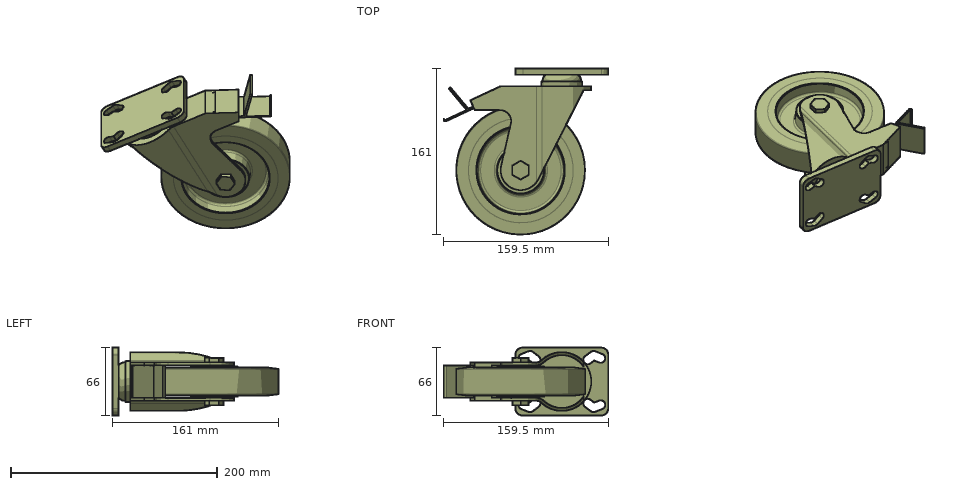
import cadquery as cq
import math


overall_x = 159.5
overall_y = 161

wheel_radius = 62.5
tread_half_width = 11.8
tread_edge_round = 0.6
tread_inner_radius = 50.7
rim_half_width = 13.8
rim_inner_radius = 43.0
rim_chamfer = 0.6
rim_wall_foot_radius = 41.2
web_half_thickness = 2.3
rim_fillet = 2.3
hub_radius = 22.9
hub_foot_radius = 24.0
hub_half_width = 14.8
hub_fillet = 1.8
hub_edge_chamfer = 0.3

axle_radius = 13.0 / 2
spacer_radius = 16.3 / 2
hex_across_flats = 15.8
hex_outer_z = 23.0

sheet = 2.9
leg_outer_z = 18.7
leg_inner_z = leg_outer_z - sheet
leg_end_radius = 19.3
leg_slant = math.radians(63)
swivel_x = 40.0
shell_radius = 28.5
shell_blend_radius = 8
fork_top_y = 81.3
flange_thickness = 4.0
flange_bottom_y = fork_top_y - flange_thickness
throat_centre = (-19.8, 47.5)
throat_radius = 10.6
arm_slope = math.radians(25)
arm_knee_x = -19.6
arm_length = 32.2
cavity_start_x = -28.2

neck_radius = 40.0 / 2
neck_shoulder_y = 85.0
neck_shoulder_round = 1.1
dome_top_radius = 15.8
dome_arc_radius = 7.5

plate_length = 90.2
plate_width = 66
plate_thickness = 6.1
plate_top_y = overall_y - wheel_radius
plate_bottom_y = plate_top_y - plate_thickness
plate_corner_radius = 7.1
slot_width = 8.5
slot_path = [(25.1, 21.1), (30.8, 25.3), (37.7, 22.5)]

tread_thickness = 1.5
stub_thickness = 2.0
lever_thickness = 2.1
pedal_half_width = leg_inner_z
pedal_tip_x = swivel_x + plate_length / 2 - overall_x
pedal_root = (-45.4, 59.9)
pedal_root_overlap = 0.8
lip_round = 1.6
lip_rise = 0.8
lever_slope = math.radians(50)
lever_root_distance = 5.6
lever_length = 28.0


def both_sides(body):
    """Join a body to its mirror image across the mid-plane Z = 0."""
    return body.union(body.mirror("XY"))


def make_wheel():
    half = (
        cq.Workplane("XZ")
        .moveTo(0, 0)
        .lineTo(wheel_radius, 0)
        .lineTo(wheel_radius, tread_half_width)
        .tangentArcPoint((-tread_edge_round, tread_edge_round))
        .lineTo(tread_inner_radius, rim_half_width)
        .lineTo(rim_inner_radius, rim_half_width)
        .lineTo(rim_inner_radius - rim_chamfer, rim_half_width - rim_chamfer)
        .lineTo(rim_wall_foot_radius, web_half_thickness + rim_fillet)
        .tangentArcPoint((-rim_fillet, -rim_fillet))
        .lineTo(hub_foot_radius + hub_fillet, web_half_thickness)
        .tangentArcPoint((-hub_fillet, hub_fillet))
        .lineTo(hub_radius, hub_half_width - hub_edge_chamfer)
        .lineTo(hub_radius - hub_edge_chamfer, hub_half_width)
        .lineTo(0, hub_half_width)
        .close()
        .revolve(360, (0, 0), (0, 1))
    )
    return both_sides(half)


def make_axle():
    hex_across_corners = hex_across_flats / math.cos(math.radians(30))
    spacer = cq.Workplane("XY").circle(spacer_radius).extrude(leg_inner_z)
    shank = cq.Workplane("XY").circle(axle_radius).extrude(leg_outer_z)
    head = (
        cq.Workplane("XY", origin=(0, 0, leg_outer_z))
        .transformed(rotate=(0, 0, 30))
        .polygon(6, hex_across_corners)
        .extrude(hex_outer_z - leg_outer_z)
    )
    return both_sides(spacer.union(shank).union(head))


def fork_plan(start_x, half_width, radius, blend, top_y):
    """Prism down from top_y: a straight channel blending into a round shell."""
    blend_z = half_width + blend
    reach = radius + blend
    blend_x = swivel_x - math.sqrt(reach**2 - blend_z**2)
    to_blend = math.atan2(blend_z, blend_x - swivel_x)
    join_x = swivel_x + radius * math.cos(to_blend)
    join_z = radius * math.sin(to_blend)
    return (
        cq.Workplane("XZ", origin=(0, top_y, 0))
        .moveTo(start_x, half_width)
        .lineTo(blend_x, half_width)
        .tangentArcPoint((join_x, join_z), relative=False)
        .threePointArc((swivel_x + radius, 0), (join_x, -join_z))
        .tangentArcPoint((blend_x, -half_width), relative=False)
        .lineTo(start_x, -half_width)
        .close()
        .extrude(top_y + leg_end_radius)
    )


def fork_side():
    """Side outline of the fork, extruded across its full width."""
    front_normal = (math.sin(leg_slant), -math.cos(leg_slant))
    front_tangent = tuple(leg_end_radius * n for n in front_normal)
    front_top_x = (leg_end_radius - flange_bottom_y * front_normal[1]) / front_normal[0]

    throat_distance = math.hypot(*throat_centre)
    throat_angle = math.atan2(throat_centre[1], throat_centre[0])
    rear_angle = throat_angle + math.acos((leg_end_radius + throat_radius) / throat_distance)
    rear_normal = (math.cos(rear_angle), math.sin(rear_angle))
    rear_tangent = tuple(leg_end_radius * n for n in rear_normal)
    throat_tangent = tuple(c - throat_radius * n for c, n in zip(throat_centre, rear_normal))

    throat_top = (throat_centre[0], throat_centre[1] + throat_radius)
    arm_tip = (
        arm_knee_x - arm_length * math.cos(arm_slope),
        fork_top_y - arm_length * math.sin(arm_slope),
    )
    arm_heel = (arm_tip[0] + (arm_tip[1] - throat_top[1]) * math.tan(arm_slope), throat_top[1])
    flange_end_x = swivel_x + shell_radius

    return (
        cq.Workplane("XY")
        .moveTo(arm_knee_x, fork_top_y)
        .lineTo(flange_end_x, fork_top_y)
        .lineTo(flange_end_x, flange_bottom_y)
        .lineTo(front_top_x, flange_bottom_y)
        .lineTo(*front_tangent)
        .threePointArc((0, -leg_end_radius), rear_tangent)
        .lineTo(*throat_tangent)
        .tangentArcPoint(throat_top, relative=False)
        .lineTo(*arm_heel)
        .lineTo(*arm_tip)
        .close()
        .extrude(shell_radius, both=True)
    )


def make_fork():
    arm_end_x = arm_knee_x - arm_length
    outer = fork_plan(arm_end_x, leg_outer_z, shell_radius, shell_blend_radius, fork_top_y)
    cavity = fork_plan(
        cavity_start_x,
        leg_inner_z,
        shell_radius - sheet,
        shell_blend_radius + sheet,
        flange_bottom_y,
    )
    return outer.cut(cavity).intersect(fork_side())


def make_neck():
    return (
        cq.Workplane("XY")
        .moveTo(0, fork_top_y)
        .lineTo(neck_radius, fork_top_y)
        .lineTo(neck_radius, neck_shoulder_y)
        .tangentArcPoint((-neck_shoulder_round, neck_shoulder_round))
        .radiusArc((dome_top_radius, plate_bottom_y), -dome_arc_radius)
        .lineTo(0, plate_bottom_y)
        .close()
        .revolve(360, (0, 0), (0, 1))
        .translate((swivel_x, 0, 0))
    )


def plate_slot():
    """Bent slot through the plate in the +X, +Z corner."""
    plane = cq.Workplane("XZ", origin=(swivel_x, plate_top_y, 0))
    slot = cq.Workplane("XZ")
    for (x0, z0), (x1, z1) in zip(slot_path, slot_path[1:]):
        length = math.hypot(x1 - x0, z1 - z0) + slot_width
        angle = math.degrees(math.atan2(z1 - z0, x1 - x0))
        leg = plane.center((x0 + x1) / 2, (z0 + z1) / 2).slot2D(length, slot_width, angle)
        slot = slot.union(leg.extrude(plate_thickness))
    return slot


def make_plate():
    plate = (
        cq.Workplane("XZ", origin=(swivel_x, plate_top_y, 0))
        .rect(plate_length, plate_width)
        .extrude(plate_thickness)
        .edges("|Y")
        .fillet(plate_corner_radius)
    )
    slots = both_sides(plate_slot())
    return plate.cut(slots).cut(slots.mirror("YZ", (swivel_x, 0, 0)))


def make_pedal():
    slope_cos = math.cos(arm_slope)
    slope_sin = math.sin(arm_slope)
    plane = cq.Plane(
        origin=(*pedal_root, -pedal_half_width),
        xDir=(-slope_cos, -slope_sin, 0),
        normal=(0, 0, 1),
    )
    lip_centre_x = pedal_tip_x + lip_round
    reach = (pedal_root[0] - lip_centre_x - lip_round * slope_sin) / slope_cos
    corner_end = (reach + lip_round * slope_cos, -lip_round * (1 + slope_sin))
    width = 2 * pedal_half_width
    tread = (
        cq.Workplane(plane)
        .moveTo(-pedal_root_overlap, 0)
        .lineTo(reach, 0)
        .tangentArcPoint(corner_end, relative=False)
        .line(-lip_rise * slope_sin, -lip_rise * slope_cos)
        .lineTo(reach, -tread_thickness)
        .lineTo(lever_root_distance, -tread_thickness)
        .lineTo(lever_root_distance, -stub_thickness)
        .lineTo(-pedal_root_overlap, -stub_thickness)
        .close()
        .extrude(width)
    )
    lever_angle = -math.degrees(lever_slope + arm_slope)
    lever = (
        cq.Workplane(plane)
        .center(lever_root_distance, -tread_thickness / 2)
        .transformed(rotate=(0, 0, lever_angle))
        .rect(lever_length, lever_thickness, centered=(False, True))
        .extrude(width)
    )
    return tread.union(lever)


result = make_wheel()
for body in (make_axle(), make_fork(), make_neck(), make_plate(), make_pedal()):
    result = result.union(body)